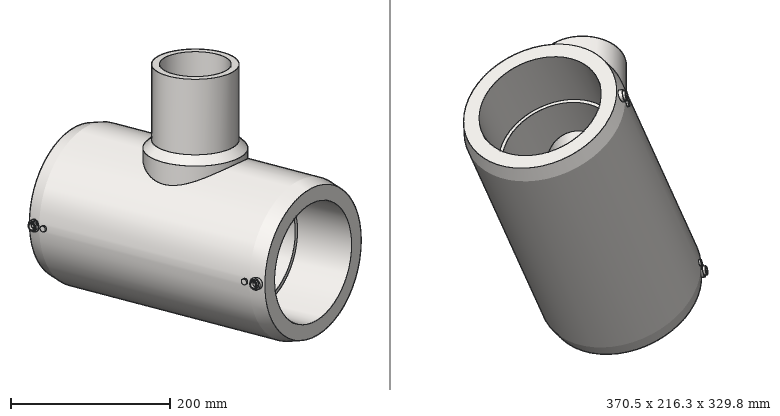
import cadquery as cq
import math

body_length = 370.5
body_diameter = 211.5
end_taper_length = 20.0
end_taper_angle = 15.0
socket_diameter = 160.0
socket_depth = 85.0
centre_bore_diameter = 150.4

branch_top = 224.0
branch_diameter = 110.0
branch_bore_diameter = 90.0
branch_collar_diameter = 132.0
branch_pipe_length = 101.0

terminal_end_offset = 11.0
terminal_collar_diameter = 16.0
terminal_collar_rise = 0.75
terminal_diameter = 12.0
terminal_rise = 4.75
terminal_tip_chamfer = 1.0
terminal_well_diameter = 8.0
terminal_well_depth = 5.0
terminal_pin_diameter = 5.0
terminal_pin_recess = 3.0
indicator_end_offset = 27.0
indicator_diameter = 8.0
indicator_rise = 2.5

body_radius = body_diameter / 2
half_length = body_length / 2
wall_middle_radius = (body_diameter + socket_diameter) / 4


def cylinder_along_x(diameter, start, end):
    return cq.Workplane("YZ", origin=(start, 0, 0)).circle(diameter / 2).extrude(end - start)


def cylinder_along_z(diameter, start, end):
    return cq.Workplane("XY", origin=(0, 0, start)).circle(diameter / 2).extrude(end - start)


def stud(x, diameter, inner_radius, outer_radius):
    """Cylinder pointing to -Y, between two distances from the sleeve axis."""
    plane = cq.Workplane("XZ", origin=(x, -inner_radius, 0))
    return plane.circle(diameter / 2).extrude(outer_radius - inner_radius)


def make_sleeve():
    """Solid sleeve with both ends tapered."""
    end_radius = body_radius - end_taper_length * math.tan(math.radians(end_taper_angle))
    taper_start = half_length - end_taper_length
    profile = cq.Workplane("XY").polyline([
        (-half_length, 0),
        (-half_length, end_radius),
        (-taper_start, body_radius),
        (taper_start, body_radius),
        (half_length, end_radius),
        (half_length, 0),
    ]).close()
    return profile.revolve(360, (0, 0, 0), (1, 0, 0))


def make_branch():
    """Solid spigot on a wider collar whose top edge slopes at 45 degrees."""
    collar_slope = (branch_collar_diameter - branch_diameter) / 2
    collar_top = branch_top - branch_pipe_length
    collar = cylinder_along_z(branch_collar_diameter, 0, collar_top)
    collar = collar.faces(">Z").chamfer(collar_slope)
    return collar.union(cylinder_along_z(branch_diameter, 0, branch_top))


def cut_bores(part):
    """Through bore, a wider socket at each end, and the branch bore."""
    socket_floor = half_length - socket_depth
    part = part.cut(cylinder_along_x(centre_bore_diameter, -half_length, half_length))
    part = part.cut(cylinder_along_x(socket_diameter, -half_length, -socket_floor))
    part = part.cut(cylinder_along_x(socket_diameter, socket_floor, half_length))
    return part.cut(cylinder_along_z(branch_bore_diameter, 0, branch_top))


def make_terminal(x):
    """Collared terminal with a contact pin standing in its open well."""
    tip = body_radius + terminal_rise
    well_floor = tip - terminal_well_depth
    collar = stud(x, terminal_collar_diameter, wall_middle_radius, body_radius + terminal_collar_rise)
    shroud = stud(x, terminal_diameter, wall_middle_radius, tip)
    shroud = shroud.faces("<Y").chamfer(terminal_tip_chamfer)
    terminal = collar.union(shroud)
    terminal = terminal.cut(stud(x, terminal_well_diameter, well_floor, tip))
    pin = stud(x, terminal_pin_diameter, wall_middle_radius, tip - terminal_pin_recess)
    return terminal.union(pin)


def make_indicator(x):
    return stud(x, indicator_diameter, wall_middle_radius, body_radius + indicator_rise)


result = cut_bores(make_sleeve().union(make_branch()))
for side in (-1, 1):
    result = result.union(make_terminal(side * (half_length - terminal_end_offset)))
    result = result.union(make_indicator(side * (half_length - indicator_end_offset)))